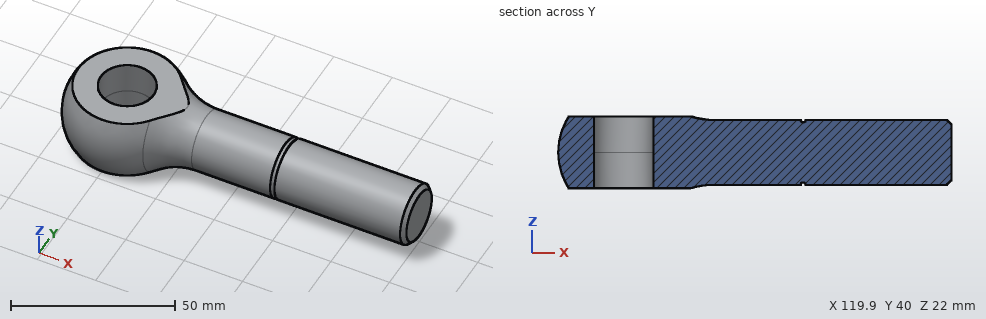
import cadquery as cq
import math

total_length = 119.9
ball_radius = 20.0
eye_thickness = 22.0
hole_diameter = 18.0
shank_radius = 10.0
neck_radius = 21.5
groove_start = 54.0
groove_width = 1.4
end_chamfer = 1.4

shank_end = total_length - ball_radius
groove_end = groove_start + groove_width
groove_middle = groove_start + groove_width / 2
groove_floor_radius = shank_radius - groove_width / 2

neck_centre_y = shank_radius + neck_radius
centre_distance = ball_radius + neck_radius
neck_end = math.sqrt(centre_distance**2 - neck_centre_y**2)
ball_share = ball_radius / centre_distance
ball_tangent = (neck_end * ball_share, neck_centre_y * ball_share)
neck_mid_angle = (math.atan2(-neck_centre_y, -neck_end) - math.pi / 2) / 2
neck_middle = (
    neck_end + neck_radius * math.cos(neck_mid_angle),
    neck_centre_y + neck_radius * math.sin(neck_mid_angle),
)


def turned_body():
    """Ball, neck and shank with a semicircular groove, revolved about the X axis."""
    profile = (
        cq.Workplane("XY")
        .moveTo(-ball_radius, 0)
        .threePointArc((0, ball_radius), ball_tangent)
        .threePointArc(neck_middle, (neck_end, shank_radius))
        .lineTo(groove_start, shank_radius)
        .threePointArc((groove_middle, groove_floor_radius), (groove_end, shank_radius))
        .lineTo(shank_end - end_chamfer, shank_radius)
        .lineTo(shank_end, shank_radius - end_chamfer)
        .lineTo(shank_end, 0)
        .close()
    )
    return profile.revolve(360, (0, 0, 0), (1, 0, 0))


def flat_slab():
    """Slab whose top and bottom faces cut the two flats of the eye."""
    side = 2 * total_length
    return cq.Workplane("XY").box(side, side, eye_thickness)


def eye_hole():
    """Through hole along Z at the centre of the ball."""
    return cq.Workplane("XY").circle(hole_diameter / 2).extrude(eye_thickness, both=True)


result = turned_body().intersect(flat_slab()).cut(eye_hole())